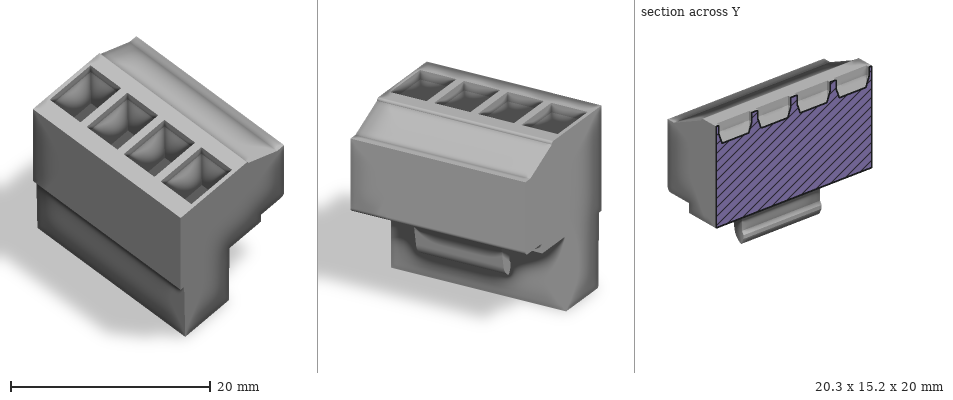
import cadquery as cq

WIDTH = 20.32
DEPTH = 15.2
HEIGHT = 20.0

FRONT_LIP_Z = 8.3
UNDERSIDE_Z = 8.4
OVERHANG_Z = 9.5
OVERHANG_Y = 11.8
OVERHANG_FILLET = 0.47
BACK_TOP_Z = 17.68
SLOPE_FOOT_Y = 14.2
SLOPE_HEAD_Z = 19.71
TOP_EDGE_RADIUS = HEIGHT - SLOPE_HEAD_Z
SLOPE_HEAD_Y = 9.92

PLUG_FRONT_TOP_Y = 0.5
PLUG_FRONT_BOTTOM_Y = 0.67
PLUG_BACK_TOP_Y = 7.17
PLUG_BACK_BOTTOM_Y = 7.07

POLES = 4
PITCH = WIDTH / POLES
POCKET_WIDTH = 4.23
POCKET_FRONT_Y = 2.03
POCKET_BACK_Y = 8.0
MOUTH_DEPTH = 1.05
FUNNEL_DEPTH = 3.09
FUNNEL_INSET = 1.12

LATCH_WIDTH = 2 * PITCH
LATCH_INNER_Y = 9.65
LATCH_ROOT_RADIUS = 0.26
LATCH_ROOT_Y = 11.58
LATCH_FLANK_TOP = (11.32, 7.9)
LATCH_FLANK_BOTTOM = (10.85, 5.38)
LATCH_NOSE = (10.49, 4.51)
LATCH_TIP = (9.77, 3.98)
BARB_Y = 9.39
BARB_BOTTOM_Z = 4.71
BARB_TOP_Z = 5.15
BARB_ROOT_Z = 5.53


def make_housing():
    """Side profile in the YZ plane, extruded over the full width."""
    profile = (
        cq.Workplane("YZ")
        .moveTo(PLUG_FRONT_BOTTOM_Y, 0)
        .lineTo(PLUG_FRONT_TOP_Y, FRONT_LIP_Z)
        .lineTo(0, FRONT_LIP_Z)
        .lineTo(0, HEIGHT)
        .lineTo(SLOPE_HEAD_Y - TOP_EDGE_RADIUS, HEIGHT)
        .radiusArc((SLOPE_HEAD_Y, SLOPE_HEAD_Z), TOP_EDGE_RADIUS)
        .lineTo(SLOPE_FOOT_Y, BACK_TOP_Z)
        .lineTo(DEPTH, BACK_TOP_Z)
        .lineTo(DEPTH, OVERHANG_Z + OVERHANG_FILLET)
        .radiusArc((DEPTH - OVERHANG_FILLET, OVERHANG_Z), OVERHANG_FILLET)
        .lineTo(OVERHANG_Y, OVERHANG_Z)
        .lineTo(OVERHANG_Y, UNDERSIDE_Z)
        .lineTo(PLUG_BACK_TOP_Y, UNDERSIDE_Z)
        .lineTo(PLUG_BACK_BOTTOM_Y, 0)
        .close()
    )
    return profile.extrude(WIDTH)


def make_pocket(center_x):
    """Cutter for one pocket: rectangular mouth, then a funnel narrowing to its floor."""
    length = POCKET_BACK_Y - POCKET_FRONT_Y
    center_y = (POCKET_BACK_Y + POCKET_FRONT_Y) / 2
    mouth_floor_z = HEIGHT - MOUTH_DEPTH
    mouth = (
        cq.Workplane("XY", origin=(center_x, center_y, mouth_floor_z))
        .rect(POCKET_WIDTH, length)
        .extrude(MOUTH_DEPTH)
    )
    funnel = (
        cq.Workplane("XY", origin=(center_x, center_y, mouth_floor_z))
        .rect(POCKET_WIDTH, length)
        .workplane(offset=-FUNNEL_DEPTH)
        .rect(POCKET_WIDTH - 2 * FUNNEL_INSET, length - 2 * FUNNEL_INSET)
        .loft(ruled=True)
    )
    return mouth.union(funnel)


def make_latch():
    """Hook with flared root, leaning outer flank and inward barb, centred across the width."""
    profile = (
        cq.Workplane("YZ", origin=((WIDTH - LATCH_WIDTH) / 2, 0, 0))
        .moveTo(LATCH_ROOT_Y, UNDERSIDE_Z)
        .lineTo(*LATCH_FLANK_TOP)
        .lineTo(*LATCH_FLANK_BOTTOM)
        .threePointArc(LATCH_NOSE, LATCH_TIP)
        .lineTo(BARB_Y, BARB_BOTTOM_Z)
        .lineTo(BARB_Y, BARB_TOP_Z)
        .lineTo(LATCH_INNER_Y, BARB_ROOT_Z)
        .lineTo(LATCH_INNER_Y, UNDERSIDE_Z - LATCH_ROOT_RADIUS)
        .radiusArc((LATCH_INNER_Y - LATCH_ROOT_RADIUS, UNDERSIDE_Z), -LATCH_ROOT_RADIUS)
        .close()
    )
    return profile.extrude(LATCH_WIDTH)


result = make_housing().union(make_latch())
for pole in range(POLES):
    result = result.cut(make_pocket((pole + 0.5) * PITCH))